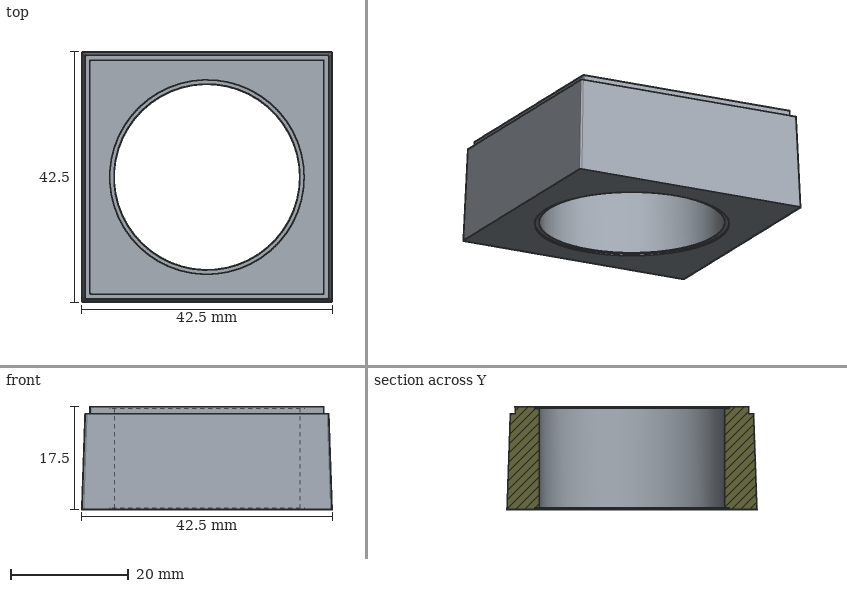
import cadquery as cq
import math

BASE_SIDE = 42.5
DRAFT_ANGLE = 2.0
CORNER_RADIUS = 0.3
TOTAL_HEIGHT = 17.5
PLATE_HEIGHT = 1.2
BODY_HEIGHT = TOTAL_HEIGHT - PLATE_HEIGHT
SHOULDER_SIDE = BASE_SIDE - 2 * BODY_HEIGHT * math.tan(math.radians(DRAFT_ANGLE))

PLATE_SIDE = 39.7
PLATE_CORNER_RADIUS = 0.15

BORE_DIAMETER = 31.5
SEAT_DIAMETER = 33.0
SEAT_DEPTH = 0.3


def rounded_square(side, radius):
    """Square sketch with rounded corners, centred on the Z axis."""
    return cq.Sketch().rect(side, side).vertices().fillet(radius)


def drafted_body():
    """Square block that narrows from its base up to the shoulder."""
    base = rounded_square(BASE_SIDE, CORNER_RADIUS)
    shoulder = rounded_square(SHOULDER_SIDE, CORNER_RADIUS)
    raised_shoulder = shoulder.moved(cq.Location(cq.Vector(0, 0, BODY_HEIGHT)))
    return cq.Workplane("XY").placeSketch(base, raised_shoulder).loft()


def top_plate():
    """Straight-sided plate standing on the shoulder."""
    outline = rounded_square(PLATE_SIDE, PLATE_CORNER_RADIUS)
    return cq.Workplane("XY").workplane(offset=BODY_HEIGHT).placeSketch(outline).extrude(PLATE_HEIGHT)


def disc(diameter, bottom, height):
    """Upright cylinder centred on the Z axis."""
    return cq.Workplane("XY").workplane(offset=bottom).circle(diameter / 2).extrude(height)


def opening():
    """Through bore, widened into a seat at each end."""
    bore = disc(BORE_DIAMETER, 0, TOTAL_HEIGHT)
    for seat_bottom in (0, TOTAL_HEIGHT - SEAT_DEPTH):
        bore = bore.union(disc(SEAT_DIAMETER, seat_bottom, SEAT_DEPTH))
    return bore


result = drafted_body().union(top_plate()).cut(opening())